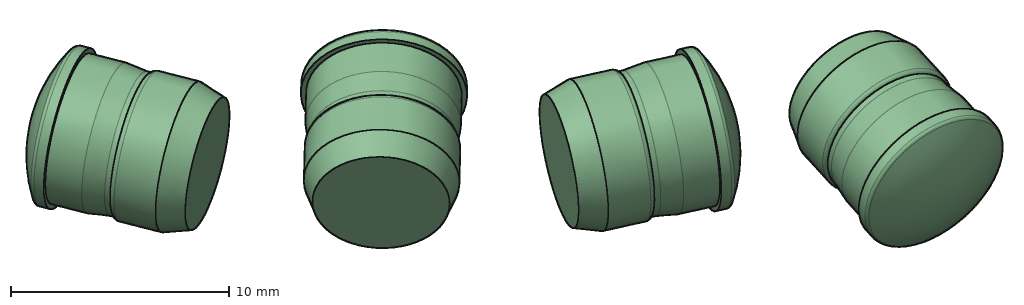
import cadquery as cq
import math

flange_diameter = 7.62
flange_radius = flange_diameter / 2
body_radius = 3.57
groove_radius = 3.43
tail_radius = 3.14

dome_sphere_radius = 6.83
rim_round = 0.21
land_round = 0.26

flange_back = 1.76
taper_start = 3.5
groove_start = 4.56
land_start = 5.07
tail_start = 7.09
length = 8.38


def arc_point(center, radius, angle):
    """Point on a circle, with the angle measured from -X towards the outside."""
    return (center[0] - radius * math.cos(angle), center[1] + radius * math.sin(angle))


rim_center_radius = flange_radius - rim_round
dome_angle = math.asin(rim_center_radius / (dome_sphere_radius - rim_round))
dome_center = (dome_sphere_radius, 0)
rim_center = arc_point(dome_center, dome_sphere_radius - rim_round, dome_angle)
dome_middle = arc_point(dome_center, dome_sphere_radius, dome_angle / 2)
dome_edge = arc_point(dome_center, dome_sphere_radius, dome_angle)
rim_middle = arc_point(rim_center, rim_round, (dome_angle + math.pi / 2) / 2)

land_center = (land_start, body_radius - land_round)
land_angle = math.asin((groove_radius - land_center[1]) / land_round)
groove_end = arc_point(land_center, land_round, land_angle)
land_middle = arc_point(land_center, land_round, (land_angle + math.pi / 2) / 2)

profile = (
    cq.Workplane("XZ")
    .moveTo(0, 0)
    .threePointArc(dome_middle, dome_edge)
    .threePointArc(rim_middle, (rim_center[0], flange_radius))
    .lineTo(flange_back, flange_radius)
    .lineTo(flange_back, body_radius)
    .lineTo(taper_start, body_radius)
    .lineTo(groove_start, groove_radius)
    .lineTo(*groove_end)
    .threePointArc(land_middle, (land_start, body_radius))
    .lineTo(tail_start, body_radius)
    .lineTo(length, tail_radius)
    .lineTo(length, 0)
    .close()
)

result = profile.revolve(360, (0, 0, 0), (1, 0, 0))